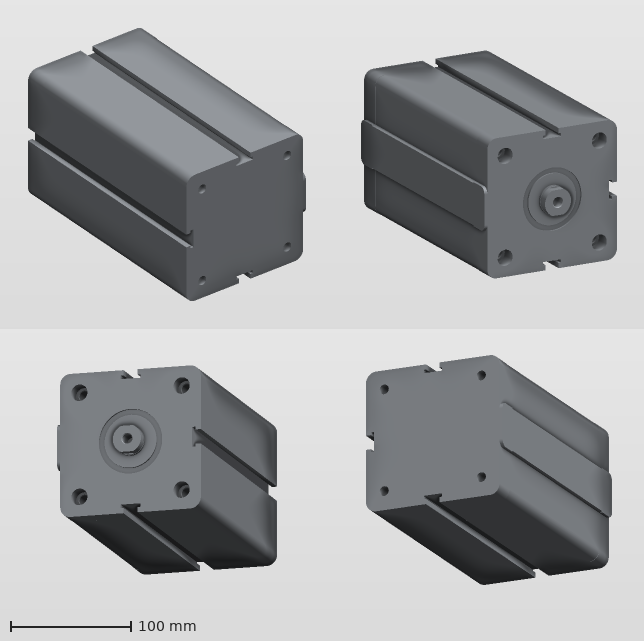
import cadquery as cq


TOTAL_LENGTH = 226.5
ROD_REACH = 10.2
SIDE = 122.0
HALF_SIDE = SIDE / 2
CORNER_RADIUS = 9.3
CAP_BACK_CORNER_RADIUS = 8.5

FRONT_CAP_LENGTH = 19.3
BARREL_LENGTH = 177.5
BODY_LENGTH = TOTAL_LENGTH - ROD_REACH
REAR_CAP_LENGTH = BODY_LENGTH - FRONT_CAP_LENGTH - BARREL_LENGTH

SLOT_NECK_WIDTH = 12.2
SLOT_WIDTH = 17.0
SLOT_LIP = 4.5
SLOT_DEPTH = 7.5

RAIL_HEIGHT = 3.0
RAIL_WIDTH = 38.5
RAIL_END_RADIUS = 5.7
RAIL_FLANK_RUN = 1.0

SCREW_OFFSET = 44.5
SCREW_DIAMETER = 8.4
SCREW_CHAMFER = 0.7
SCREW_POSITIONS = [(y, z) for y in (-SCREW_OFFSET, SCREW_OFFSET) for z in (-SCREW_OFFSET, SCREW_OFFSET)]
COUNTERBORE_DIAMETER = 14.0
COUNTERBORE_DEPTH = 13.5

GROOVE_OUTER_DIAMETER = 55.0
GROOVE_INNER_DIAMETER = 45.0
GROOVE_DEPTH = 1.8
COLLAR_DIAMETER = 25.1
COLLAR_LENGTH = 2.3

ROD_DIAMETER = 24.5
ROD_FLATS = 22.2
ROD_FLAT_LENGTH = 6.5
ROD_HOLE_DIAMETER = 8.4
ROD_HOLE_CHAMFER = 0.7
ROD_HOLE_DEPTH = 15.9


def cylinder(x_start, length, diameter, y=0.0, z=0.0):
    """A cylinder along +X starting at x_start."""
    return cq.Workplane("YZ", origin=(x_start, y, z)).circle(diameter / 2).extrude(length)


def entry_chamfer(x_start, hole_diameter, size, y=0.0, z=0.0):
    """A cone that chamfers the mouth of a hole entered at x_start."""
    mouth = cq.Workplane("YZ", origin=(x_start, y, z)).circle(hole_diameter / 2 + size)
    return mouth.workplane(offset=size).circle(hole_diameter / 2).loft()


def t_slots(x_start, length):
    """Cutters for the T-slots in the bottom, front and top faces."""
    neck = (
        cq.Workplane("YZ", origin=(x_start, 0, HALF_SIDE - SLOT_DEPTH / 2))
        .rect(SLOT_NECK_WIDTH, SLOT_DEPTH)
        .extrude(length)
    )
    wide_depth = SLOT_DEPTH - SLOT_LIP
    wide = (
        cq.Workplane("YZ", origin=(x_start, 0, HALF_SIDE - SLOT_LIP - wide_depth / 2))
        .rect(SLOT_WIDTH, wide_depth)
        .extrude(length)
    )
    top_slot = neck.union(wide)
    slots = top_slot
    for angle in (90, 180):
        slots = slots.union(top_slot.rotate((0, 0, 0), (1, 0, 0), angle))
    return slots


def screw_holes(x_start, length):
    """Cutters for the four corner screw holes."""
    return (
        cq.Workplane("YZ", origin=(x_start, 0, 0))
        .pushPoints(SCREW_POSITIONS)
        .circle(SCREW_DIAMETER / 2)
        .extrude(length)
    )


def section_block(x_start, length, back_corner_radius):
    """A rounded square block along X with its slots and screw holes."""
    block = cq.Workplane("YZ", origin=(x_start, 0, 0)).rect(SIDE, SIDE).extrude(length)
    block = block.edges("|X and <Y").fillet(CORNER_RADIUS)
    block = block.edges("|X and >Y").fillet(back_corner_radius)
    return block.cut(t_slots(x_start, length)).cut(screw_holes(x_start, length))


def cap_rail(x_start, length, rounded_end):
    """The cap's stretch of rail, rounded at its outer end ("<X" or ">X")."""
    rail = (
        cq.Workplane("XY", origin=(x_start + length / 2, HALF_SIDE + RAIL_HEIGHT / 2, 0))
        .box(length, RAIL_HEIGHT, RAIL_WIDTH)
    )
    return rail.edges(f"|Y and {rounded_end}").fillet(RAIL_END_RADIUS)


def barrel_rail(x_start):
    """The barrel's stretch of rail, with leaning flanks."""
    half_base = RAIL_WIDTH / 2
    half_top = half_base - RAIL_FLANK_RUN
    outer_y = HALF_SIDE + RAIL_HEIGHT
    return (
        cq.Workplane("YZ", origin=(x_start, 0, 0))
        .polyline([
            (HALF_SIDE, -half_base),
            (outer_y, -half_top),
            (outer_y, half_top),
            (HALF_SIDE, half_base),
        ])
        .close()
        .extrude(BARREL_LENGTH)
    )


def make_front_cap():
    """The front cap with counterbored screw holes, ring groove, collar and rod bore."""
    block = section_block(0, FRONT_CAP_LENGTH, CAP_BACK_CORNER_RADIUS)
    cap = block.union(cap_rail(0, FRONT_CAP_LENGTH, "<X"))
    for y, z in SCREW_POSITIONS:
        cap = cap.cut(cylinder(0, COUNTERBORE_DEPTH, COUNTERBORE_DIAMETER, y, z))
        cap = cap.cut(entry_chamfer(COUNTERBORE_DEPTH, SCREW_DIAMETER, SCREW_CHAMFER, y, z))
    groove = cylinder(0, GROOVE_DEPTH, GROOVE_OUTER_DIAMETER)
    groove = groove.cut(cylinder(0, GROOVE_DEPTH, GROOVE_INNER_DIAMETER))
    cap = cap.cut(groove)
    cap = cap.union(cylinder(-COLLAR_LENGTH, COLLAR_LENGTH, COLLAR_DIAMETER))
    rod_bore = cylinder(-COLLAR_LENGTH, COLLAR_LENGTH + FRONT_CAP_LENGTH, ROD_DIAMETER)
    return cap.cut(rod_bore)


def make_barrel():
    """The barrel between the two caps."""
    block = section_block(FRONT_CAP_LENGTH, BARREL_LENGTH, CORNER_RADIUS)
    return block.union(barrel_rail(FRONT_CAP_LENGTH))


def make_rear_cap():
    """The rear cap, with plain screw holes."""
    x_start = FRONT_CAP_LENGTH + BARREL_LENGTH
    block = section_block(x_start, REAR_CAP_LENGTH, CAP_BACK_CORNER_RADIUS)
    return block.union(cap_rail(x_start, REAR_CAP_LENGTH, ">X"))


def make_rod():
    """The rod runs through the front cap and ends against the barrel."""
    rod = cylinder(-ROD_REACH, ROD_REACH + FRONT_CAP_LENGTH, ROD_DIAMETER)
    flat_cut_height = (ROD_DIAMETER - ROD_FLATS) / 2
    for side in (-1, 1):
        flat_cut = cq.Workplane("XY").box(ROD_FLAT_LENGTH, ROD_DIAMETER, flat_cut_height)
        flat_z = side * (ROD_FLATS + flat_cut_height) / 2
        rod = rod.cut(flat_cut.translate((ROD_FLAT_LENGTH / 2 - ROD_REACH, 0, flat_z)))
    rod = rod.cut(cylinder(-ROD_REACH, ROD_HOLE_DEPTH, ROD_HOLE_DIAMETER))
    return rod.cut(entry_chamfer(-ROD_REACH, ROD_HOLE_DIAMETER, ROD_HOLE_CHAMFER))


front_cap = make_front_cap()
barrel = make_barrel()
rear_cap = make_rear_cap()
rod = make_rod()

result = cq.Compound.makeCompound([front_cap.val(), barrel.val(), rear_cap.val(), rod.val()])